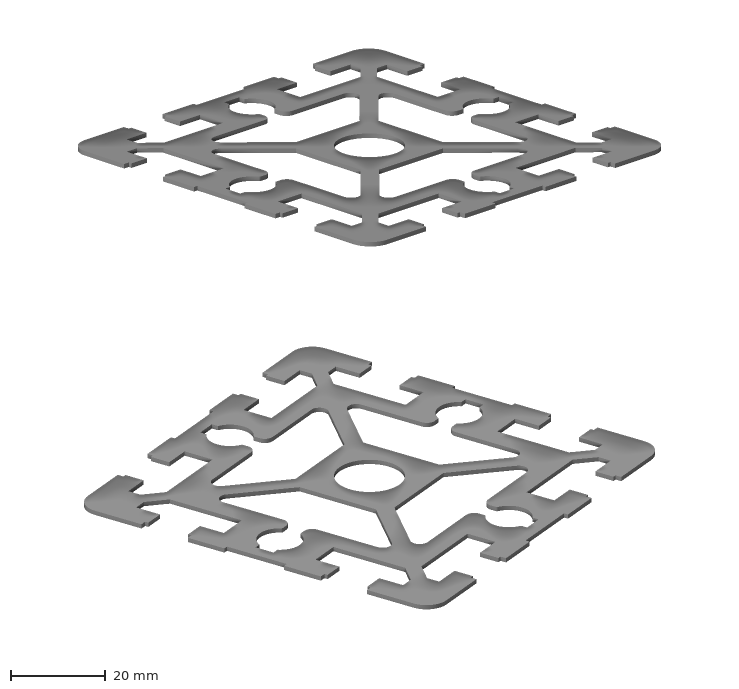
import cadquery as cq
import math

side = 90.0
thickness = 1.0
half = side / 2
corner_radius = 5.0

bore_diameter = 15.0
hub_half = 12.4

slot_offset = 22.5
slot_opening = 10.0
slot_inner_width = 22.0
lip_depth = 6.0
slot_depth = 13.0
mouth_step_width = 0.8
mouth_step_depth = 1.4

groove_width = 15.0
groove_depth = 1.0

channel_diameter = 10.0
channel_center_depth = 10.0
channel_notch_depth = 4.0
neck_width = 4.5
neck_edge_radius = 2.0
neck_inner_radius = 0.5

slot_floor_wall = 5.0
inner_web = 4.0
outer_web = 3.5
pocket_radius = 2.0

channel_y = half - channel_center_depth
neck_start_y = channel_y - math.sqrt((channel_diameter / 2) ** 2 - (neck_width / 2) ** 2)
pocket_top_y = half - slot_depth - slot_floor_wall


def prism(outline):
    """Extrude a closed outline through the whole plate."""
    return outline.extrude(thickness)


def block(x_min, x_max, y_min, y_max):
    """Rectangular cutter through the whole plate."""
    outline = cq.Workplane("XY").center((x_min + x_max) / 2, (y_min + y_max) / 2)
    return prism(outline.rect(x_max - x_min, y_max - y_min))


def slot_cutter():
    """T-slot left of the middle of the +Y side, its corner cut off along the outer web."""
    web_shift = outer_web / math.sqrt(2)
    left = -slot_offset - slot_inner_width / 2
    right = -slot_offset + slot_inner_width / 2
    floor = half - slot_depth
    lip = half - lip_depth
    cavity = prism(
        cq.Workplane("XY").polyline([
            (left, lip),
            (right, lip),
            (right, floor),
            (-floor + web_shift, floor),
            (left, -left + web_shift),
        ]).close()
    )
    mouth_half = slot_opening / 2
    step_half = mouth_half + mouth_step_width
    mouth = block(-slot_offset - mouth_half, -slot_offset + mouth_half, lip, half)
    step = block(-slot_offset - step_half, -slot_offset + step_half, half - mouth_step_depth, half)
    return cavity.union(mouth).union(step)


def groove_cutter():
    """Shallow groove in the middle of the +Y side."""
    return block(-groove_width / 2, groove_width / 2, half - groove_depth, half)


def pocket_cutter():
    """Trapezoidal pocket between two diagonal webs, rounded at its two sharp ends."""
    web_shift = inner_web / math.sqrt(2)
    outer_half = pocket_top_y - web_shift
    inner_half = hub_half - web_shift
    pocket = prism(
        cq.Workplane("XY").polyline([
            (-outer_half, pocket_top_y),
            (outer_half, pocket_top_y),
            (inner_half, hub_half),
            (-inner_half, hub_half),
        ]).close()
    )
    return pocket.edges("|Z and >Y").fillet(pocket_radius)


def channel_cutter():
    """Round screw channel with a square notch outward and a neck opening into the pocket."""
    bore = prism(cq.Workplane("XY").center(0, channel_y).circle(channel_diameter / 2))
    neck = block(-neck_width / 2, neck_width / 2, pocket_top_y, half - channel_notch_depth)
    return bore.union(neck)


def edges_at_neck(y):
    """Selector of the upright edges on the neck walls at height y."""
    tolerance = 0.1
    reach_x = neck_width / 2 + tolerance
    return cq.selectors.BoxSelector(
        (-reach_x, y - tolerance, -tolerance),
        (reach_x, y + tolerance, thickness + tolerance),
    ) & cq.StringSyntaxSelector("|Z")


def side_cutter():
    """Everything removed from the +Y side of the plate."""
    slot = slot_cutter()
    opening = pocket_cutter().union(channel_cutter())
    opening = opening.edges(edges_at_neck(pocket_top_y)).fillet(neck_edge_radius)
    opening = opening.edges(edges_at_neck(neck_start_y)).fillet(neck_inner_radius)
    return opening.union(slot).union(slot.mirror("YZ")).union(groove_cutter())


plate = prism(cq.Workplane("XY").rect(side, side)).edges("|Z").fillet(corner_radius)
plate = plate.cut(prism(cq.Workplane("XY").circle(bore_diameter / 2)))

cutter = side_cutter()
for quarter in range(4):
    plate = plate.cut(cutter.rotate((0, 0, 0), (0, 0, 1), quarter * 90))

result = plate